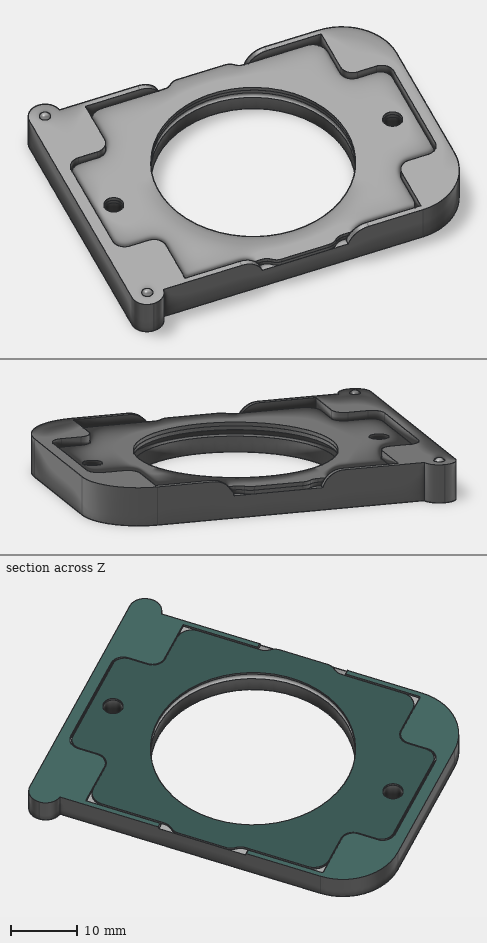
import cadquery as cq
import math

LENGTH = 56.45
WIDTH = 40.35
FRAME_HEIGHT = 6.0
CORNER_RADIUS = 9.0
HINGE_WIDTH = 44.6
HINGE_LENGTH = 5.1
HINGE_RADIUS = 2.5
DOME_RADIUS = 0.85
DOME_HEIGHT = 0.45

POCKET_DEPTH = 2.5
POCKET_WIDTH = 38.6
POCKET_LENGTH = 38.55
POCKET_TAB_WIDTH = 19.85
POCKET_TAB_LENGTH = 52.7
TAB_RADIUS = 2.0

NOTCH_TOP_WIDTH = 20.8
NOTCH_RADIUS = 3.5

LENS_DIAMETER = 30.9
LENS_SEAT_DIAMETER = 33.4
LENS_SEAT_DEPTH = 1.0
SCREW_DIAMETER = 3.0
SCREW_SPACING = 45.6

PLATE_COUNT = 2
PLATE_STACK_HEIGHT = 1.2
PLATE_THICKNESS = PLATE_STACK_HEIGHT / PLATE_COUNT
FIT_GAP = 0.05
END_GAP = 0.2
PLATE_CORNER_RADIUS = 2.5
EAR_CENTRE_WIDTH = 10.5
EAR_CURVE_RADIUS = 2.0

POCKET_FLOOR = FRAME_HEIGHT - POCKET_DEPTH
HINGE_Y = (HINGE_LENGTH - LENGTH) / 2
DOME_X = HINGE_WIDTH / 2 - HINGE_RADIUS
DOME_POINTS = [(side * DOME_X, HINGE_Y) for side in (-1, 1)]
SCREW_POINTS = [(0, end * SCREW_SPACING / 2) for end in (-1, 1)]


def block(width, length, height, z):
    """A rectangular block centred on the lens axis, with its underside at z."""
    return cq.Workplane("XY", origin=(0, 0, z)).rect(width, length).extrude(height)


def cross(width, length, tab_width, tab_length, height, z):
    """A rectangle with a centred tab on each end, rounded where the tabs meet it and at their tips."""
    body = block(width, length, height, z).union(block(tab_width, tab_length, height, z))
    return body.edges("|Z").edges("not(<X or >X)").fillet(TAB_RADIUS)


def cut_openings(body):
    """Cuts the lens opening and both screw holes through a body."""
    body = body.cut(cq.Workplane("XY").circle(LENS_DIAMETER / 2).extrude(FRAME_HEIGHT))
    return body.cut(
        cq.Workplane("XY").pushPoints(SCREW_POINTS).circle(SCREW_DIAMETER / 2).extrude(FRAME_HEIGHT)
    )


def frame_blank():
    """A body with two large round corners at +Y, joined to a wider round-ended bar at -Y."""
    body_length = LENGTH - HINGE_LENGTH / 2
    body = block(WIDTH, body_length, FRAME_HEIGHT, 0).translate((0, (LENGTH - body_length) / 2, 0))
    body = body.edges("|Z and >Y").fillet(CORNER_RADIUS)
    hinge_bar = block(HINGE_WIDTH, HINGE_LENGTH, FRAME_HEIGHT, 0).translate((0, HINGE_Y, 0))
    return body.union(hinge_bar.edges("|Z").fillet(HINGE_RADIUS))


def notch_cutter():
    """A prism along X whose two ends flare upward as convex arcs, down to the pocket floor."""
    half_top = NOTCH_TOP_WIDTH / 2
    arc_centre_z = FRAME_HEIGHT - NOTCH_RADIUS

    def arc_y(z):
        return half_top - math.sqrt(NOTCH_RADIUS**2 - (z - arc_centre_z) ** 2)

    mid_z = FRAME_HEIGHT - POCKET_DEPTH / 2
    floor_y = arc_y(POCKET_FLOOR)
    mid_y = arc_y(mid_z)
    return (
        cq.Workplane("YZ")
        .moveTo(-half_top, FRAME_HEIGHT)
        .threePointArc((-mid_y, mid_z), (-floor_y, POCKET_FLOOR))
        .lineTo(floor_y, POCKET_FLOOR)
        .threePointArc((mid_y, mid_z), (half_top, FRAME_HEIGHT))
        .close()
        .extrude(WIDTH / 2, both=True)
    )


def dome(x, y):
    """A spherical cap on the frame's top face, with a foot below it that merges into the frame."""
    sphere_radius = (DOME_RADIUS**2 + DOME_HEIGHT**2) / (2 * DOME_HEIGHT)
    centre_z = FRAME_HEIGHT + DOME_HEIGHT - sphere_radius
    sphere = cq.Workplane("XY").sphere(sphere_radius).translate((x, y, centre_z))
    foot = cq.Workplane("XY", origin=(x, y, FRAME_HEIGHT - DOME_HEIGHT)).circle(DOME_RADIUS)
    return sphere.intersect(foot.extrude(2 * DOME_HEIGHT))


def make_frame():
    """The holder with its pocket, finger notches, lens seat, openings and two locating domes."""
    frame = frame_blank()
    frame = frame.cut(
        cross(POCKET_WIDTH, POCKET_LENGTH, POCKET_TAB_WIDTH, POCKET_TAB_LENGTH, POCKET_DEPTH, POCKET_FLOOR)
    )
    frame = frame.cut(notch_cutter())
    lens_seat = (
        cq.Workplane("XY", origin=(0, 0, POCKET_FLOOR - LENS_SEAT_DEPTH))
        .circle(LENS_SEAT_DIAMETER / 2).extrude(LENS_SEAT_DEPTH)
    )
    frame = cut_openings(frame.cut(lens_seat))
    for x, y in DOME_POINTS:
        frame = frame.union(dome(x, y))
    return frame


def plate_ears(plate_width, z):
    """A bar across the plate that reaches the frame's sides, joined to the plate edge by S-curves."""
    edge_x = plate_width / 2
    tip_x = WIDTH / 2
    half_step = (tip_x - edge_x) / 2
    turn = math.acos(1 - half_step / EAR_CURVE_RADIUS)
    reach = EAR_CURVE_RADIUS * math.sin(turn)
    bend_x = EAR_CURVE_RADIUS * (1 - math.cos(turn / 2))
    bend_y = EAR_CURVE_RADIUS * math.sin(turn / 2)
    middle_y = EAR_CENTRE_WIDTH / 2
    root_y = middle_y + reach
    crest_y = middle_y - reach
    right_half = (
        cq.Workplane("XY", origin=(0, 0, z))
        .moveTo(0, -root_y)
        .lineTo(edge_x, -root_y)
        .threePointArc((edge_x + bend_x, bend_y - root_y), (edge_x + half_step, -middle_y))
        .threePointArc((tip_x - bend_x, -crest_y - bend_y), (tip_x, -crest_y))
        .lineTo(tip_x, crest_y)
        .threePointArc((tip_x - bend_x, crest_y + bend_y), (edge_x + half_step, middle_y))
        .threePointArc((edge_x + bend_x, root_y - bend_y), (edge_x, root_y))
        .lineTo(0, root_y)
        .close()
        .extrude(PLATE_THICKNESS)
    )
    return right_half.union(right_half.mirror("YZ"))


def make_plate(z):
    """One thin cross-shaped plate with ears in the finger notches, its underside at z."""
    width = POCKET_WIDTH - 2 * END_GAP
    plate = cross(
        width,
        POCKET_LENGTH - 2 * FIT_GAP,
        POCKET_TAB_WIDTH - 2 * FIT_GAP,
        POCKET_TAB_LENGTH - 2 * END_GAP,
        PLATE_THICKNESS,
        z,
    )
    plate = plate.edges("|Z and (>X or <X)").fillet(PLATE_CORNER_RADIUS)
    return cut_openings(plate.union(plate_ears(width, z)))


frame = make_frame()
plates = [make_plate(POCKET_FLOOR + level * PLATE_THICKNESS) for level in range(PLATE_COUNT)]

result = cq.Compound.makeCompound([frame.val(), *[plate.val() for plate in plates]])